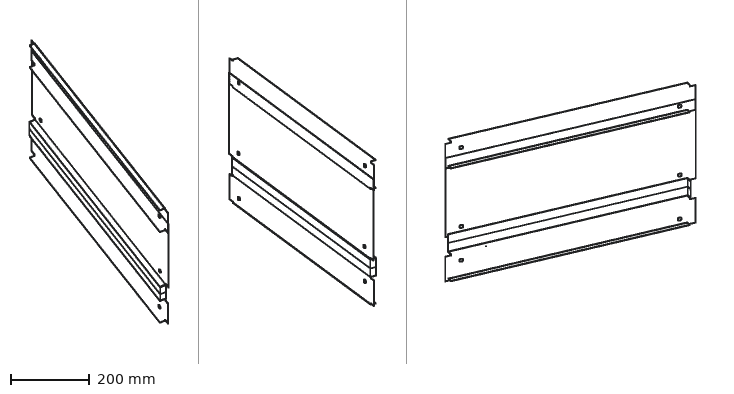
import cadquery as cq

length = 707.0
depth = 17.0
height = 410.0
sheet = 1.5
outer_bend = 2.0

flange_length = 674.5
notch_height = 4.0

channel_height = 80.5
gap_height = 49.5
overlap = 36.0
bar_length = 678.0
bar_count = 2
bar_height = gap_height / bar_count

slot_length = 10.5
slot_height = 8.5
slot_x = 308.0
channel_slot_offset = 15.0
cover_slot_rise = 25.0

channel_depth = depth - sheet
upper_channel_z = height - channel_height
lower_channel_z = 0
bars_z = channel_height
cover_z = bars_z + gap_height
cover_height = upper_channel_z + overlap - cover_z


def box(size_x, y_front, y_back, z_bottom, z_top):
    """Block centred on X = 0, given by its length and its Y and Z limits."""
    block = cq.Workplane("XY").box(size_x, y_back - y_front, z_top - z_bottom, centered=(True, False, False))
    return block.translate((0, y_front, z_bottom))


def folded_panel(back, z_bottom, z_top, folded_top):
    """Upright sheet with a forward flange at the bottom and, if asked, one at the top."""
    inner_bend = outer_bend - sheet
    inner_top = z_top - sheet if folded_top else z_top
    outer = box(flange_length, 0, back, z_bottom, z_top)
    outer = outer.edges("|X and >Y and <Z").fillet(outer_bend)
    inner = box(flange_length, 0, back - sheet, z_bottom + sheet, inner_top)
    inner = inner.edges("|X and >Y and <Z").fillet(inner_bend)
    if folded_top:
        outer = outer.edges("|X and >Y and >Z").fillet(outer_bend)
        inner = inner.edges("|X and >Y and >Z").fillet(inner_bend)
    web_top = z_top - notch_height if folded_top else z_top
    web = box(length, back - sheet, back, z_bottom + notch_height, web_top)
    return outer.cut(inner).union(web)


def cut_slot(panel, x, z):
    """Cut one slot, long along X, right through the sheet."""
    cutter = cq.Workplane("XZ", origin=(x, 0, z)).slot2D(slot_length, slot_height).extrude(-depth)
    return panel.cut(cutter)


def make_channel(z_bottom):
    """Channel with two flanges and two slots set diagonally about its middle."""
    channel = folded_panel(channel_depth, z_bottom, z_bottom + channel_height, folded_top=True)
    middle = z_bottom + channel_height / 2
    channel = cut_slot(channel, -slot_x, middle + channel_slot_offset)
    return cut_slot(channel, slot_x, middle - channel_slot_offset)


def make_cover():
    """Tall sheet with one bottom flange, its top lying behind the upper channel."""
    cover = folded_panel(depth, cover_z, cover_z + cover_height, folded_top=False)
    for x in (-slot_x, slot_x):
        cover = cut_slot(cover, x, cover_z + cover_slot_rise)
    return cover


def make_bar(z_bottom):
    """Plain solid bar as deep as the whole assembly."""
    return box(bar_length, 0, depth, z_bottom, z_bottom + bar_height)


channels = [make_channel(z) for z in (lower_channel_z, upper_channel_z)]
cover = make_cover()
bars = [make_bar(bars_z + i * bar_height) for i in range(bar_count)]

result = cq.Compound.makeCompound([body.val() for body in (*channels, cover, *bars)])